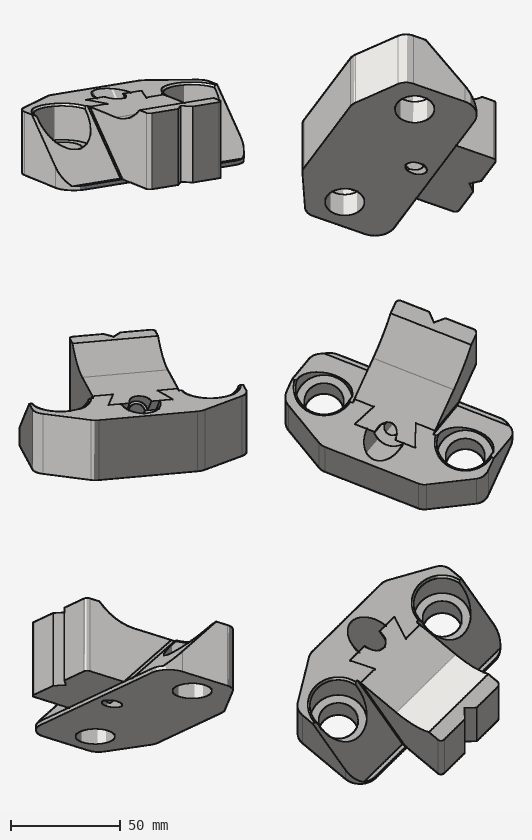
import cadquery as cq
import math

base_length = 55.0
base_width = 100.0
base_height = 30.0
nose_width = 50.0
nose_angle = 60.0
nose_radius = 7.0
front_radius = 10.0
lip_height = 2.0
pad_thickness = 2.0

mount_spacing = 70.0
mount_bore_radius = 9.0
counterbore_radius = 13.0
counterbore_floor = 13.0
countersink = 1.0

jaw_end = 77.0
jaw_width = 40.0
jaw_height = 38.0
saddle_start = 49.0
saddle_radius = 30.0
jaw_corner_radius = 2.0
vee_depth = 4.0

dovetail_depth = 8.0
dovetail_width = 30.0
dovetail_flank_angle = 30.0

head_radius = 9.0
tongue_bore_radius = 5.0
screw_radius = 3.7
screw_floor = 11.4

seat_top_x = base_length + lip_height - base_height
ramp_top_x = seat_top_x - pad_thickness
tongue_top_x = seat_top_x - dovetail_depth * math.sqrt(2)
neck_width = dovetail_width - 2 * dovetail_depth * math.tan(math.radians(dovetail_flank_angle))
mount_x = seat_top_x
reach = 100.0


def ramp_cutter(top_x, y_start, y_end):
    """Space in front of a 45 degree ramp, above the lip."""
    run = base_height - lip_height
    return (
        cq.Workplane("XZ", origin=(0, y_end, 0))
        .polyline([
            (top_x, base_height),
            (top_x + run, lip_height),
            (reach, lip_height),
            (reach, base_height),
        ])
        .close()
        .extrude(y_end - y_start)
    )


def dovetail_tongue():
    """Dovetail running down the ramp from the top face to the lip."""
    rise = base_height - lip_height
    return (
        cq.Workplane("XY", origin=(0, 0, base_height))
        .polyline([
            (tongue_top_x, -dovetail_width / 2),
            (seat_top_x, -neck_width / 2),
            (seat_top_x, neck_width / 2),
            (tongue_top_x, dovetail_width / 2),
        ])
        .close()
        .sweep(
            cq.Workplane("XZ")
            .moveTo(tongue_top_x, base_height)
            .lineTo(tongue_top_x + rise, lip_height)
        )
    )


def screw_cylinder(radius, start, end):
    """Cylinder on the screw axis, between two distances from the top face."""
    axis = cq.Vector(1, 0, -1).normalized()
    origin = cq.Vector(tongue_top_x, 0, base_height) + axis * start
    return cq.Workplane(obj=cq.Solid.makeCylinder(radius, end - start, origin, axis))


def screw_hole(entry_radius):
    """Stepped hole: a wide entry down to the floor, then the screw bore."""
    entry = screw_cylinder(entry_radius, -reach / 2, screw_floor)
    return entry.union(screw_cylinder(screw_radius, 0, reach))


def base_blank():
    half_width = base_width / 2
    half_nose = nose_width / 2
    nose_length = (half_width - half_nose) / math.tan(math.radians(nose_angle))
    return (
        cq.Workplane("XY")
        .polyline([
            (0, -half_nose),
            (nose_length, -half_width),
            (base_length, -half_width),
            (base_length, half_width),
            (nose_length, half_width),
            (0, half_nose),
        ])
        .close()
        .extrude(base_height)
        .edges("|Z and >X")
        .fillet(front_radius)
        .edges(cq.selectors.BoxSelector(
            (-1, -base_width, 0), (nose_length + 1, base_width, base_height)))
        .edges("|Z")
        .fillet(nose_radius)
    )


def mount_hole(y):
    """Counterbored through hole with a countersunk rim at the top face."""
    radii_and_heights = [
        (0, 0),
        (mount_bore_radius, 0),
        (mount_bore_radius, counterbore_floor),
        (counterbore_radius, counterbore_floor),
        (counterbore_radius, base_height - countersink),
        (counterbore_radius + countersink, base_height),
        (0, base_height),
    ]
    return (
        cq.Workplane("XZ")
        .polyline(radii_and_heights)
        .close()
        .revolve(360, (0, 0, 0), (0, 1, 0))
        .translate((mount_x, y, 0))
    )


def make_base():
    base = base_blank()
    base = base.cut(ramp_cutter(seat_top_x, -jaw_width / 2, jaw_width / 2))
    for side in (-1, 1):
        inner, outer = sorted((side * jaw_width / 2, side * base_width / 2))
        base = base.cut(ramp_cutter(ramp_top_x, inner, outer))
        base = base.cut(mount_hole(side * mount_spacing / 2))
    return base.cut(dovetail_tongue()).cut(screw_hole(head_radius))


def jaw_blank():
    """Jaw body with the ramp behind, the saddle arc on top and rounded front corners."""
    saddle_rise = jaw_height - base_height
    saddle_run = math.sqrt(saddle_radius**2 - (saddle_radius - saddle_rise)**2)
    half_angle = math.asin(saddle_run / saddle_radius) / 2
    saddle_middle = (
        saddle_start + saddle_radius * math.sin(half_angle),
        base_height + saddle_radius * (1 - math.cos(half_angle)),
    )
    return (
        cq.Workplane("XZ")
        .moveTo(base_length, lip_height)
        .lineTo(jaw_end, lip_height)
        .lineTo(jaw_end, jaw_height)
        .lineTo(saddle_start + saddle_run, jaw_height)
        .threePointArc(saddle_middle, (saddle_start, base_height))
        .lineTo(seat_top_x, base_height)
        .close()
        .extrude(jaw_width / 2, both=True)
        .edges("|Z and >X")
        .fillet(jaw_corner_radius)
    )


def vee_groove():
    """Full-height 90 degree groove in the front face of the jaw."""
    return (
        cq.Workplane("XY")
        .polyline([
            (jaw_end - vee_depth, 0),
            (jaw_end, -vee_depth),
            (jaw_end, vee_depth),
        ])
        .close()
        .extrude(jaw_height)
    )


def make_jaw():
    jaw = jaw_blank().union(dovetail_tongue()).cut(vee_groove())
    return jaw.cut(screw_hole(tongue_bore_radius))


base = make_base()
jaw = make_jaw()
result = cq.Compound.makeCompound([base.val(), jaw.val()])